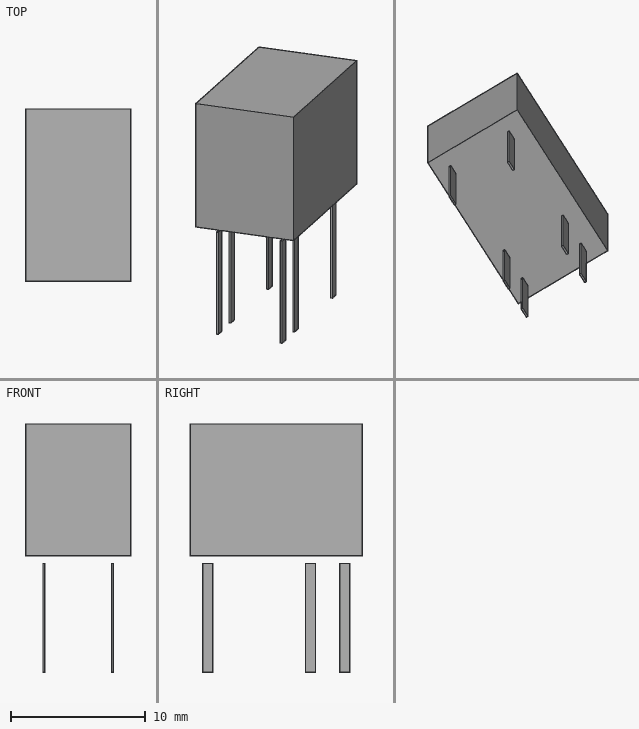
import cadquery as cq

overall_height = 18.44
housing_width = 7.8
housing_length = 12.8
housing_height = 9.8

pin_gap = 0.55
pin_thickness = 0.15
pin_width = 0.75
pin_length = overall_height - housing_height - pin_gap
pin_pitch = 2.55
row_spacing = 2 * pin_pitch
end_pin_y = 2 * pin_pitch

row_positions = (-row_spacing / 2, row_spacing / 2)
pin_stations = (-end_pin_y, end_pin_y - pin_pitch, end_pin_y)


def make_housing():
    """Block centred in X and Y, with its underside at Z = 0."""
    return cq.Workplane("XY").box(
        housing_width, housing_length, housing_height, centered=(True, True, False)
    )


def make_pin(x, y):
    """Flat pin hanging down below the gap under the housing."""
    return (
        cq.Workplane("XY", origin=(x, y, -pin_gap))
        .rect(pin_thickness, pin_width)
        .extrude(-pin_length)
    )


housing = make_housing()
pins = [make_pin(x, y) for x in row_positions for y in pin_stations]

result = cq.Compound.makeCompound([housing.val(), *[pin.val() for pin in pins]])